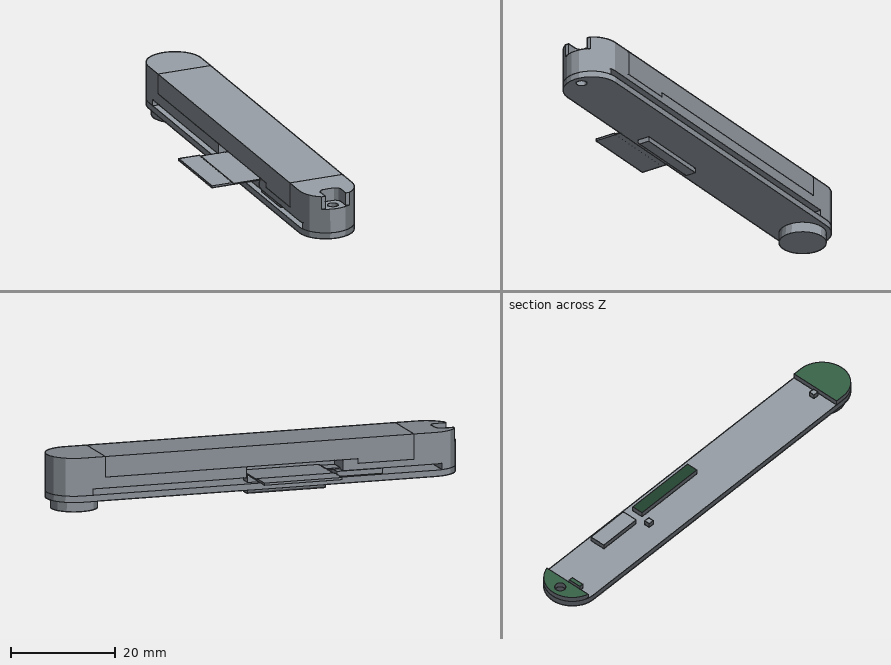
import cadquery as cq

LENGTH = 82.0
END_RADIUS = 5.5
FRONT = -END_RADIUS
FULL_WIDTH = (FRONT, END_RADIUS)
FOOT_HEIGHT = 2.05
PLATE_THICKNESS = 1.2
HOUSING_HEIGHT = 7.4
PLATE_BOTTOM = FOOT_HEIGHT
PLATE_TOP = PLATE_BOTTOM + PLATE_THICKNESS
TOP = PLATE_TOP + HOUSING_HEIGHT
FOOT_RADIUS = 4.5

GAP_HEIGHT = 1.2
GAP_START = 7.5
GAP_END = 77.8
CEILING = PLATE_TOP + GAP_HEIGHT

LID_START = 9.9
LID_END = LENGTH - LID_START
LID_THICKNESS = 4.0
LID_STEP_START = 60.85
LID_STEP_DEPTH = 0.9
LID_BOTTOM = TOP - LID_THICKNESS

FLEX_START = 39.0
FLEX_WIDTH = 15.7
FLEX_END = FLEX_START + FLEX_WIDTH
FLEX_TIP = -14.0
FLEX_THICKNESS = 0.205
FLEX_BOTTOM = TOP - 5.9
STIFFENER_LENGTH = 4.35

POCKET_START = 38.4
POCKET_END = 57.8
POCKET_DEPTH = 4.9
POCKET_MOUTH_DEPTH = 1.7
POCKET_BACK = FRONT + POCKET_DEPTH

HOLE_X = 79.95
HOLE_DIAMETER = 2.05
RECESS_START = 77.8
RECESS_WIDTH = 4.3
RECESS_DEPTH = 2.55
RECESS_CORNER_RADIUS = 1.2
FLAT_X = 81.2

RIB_START = 76.5
RIB_WIDTH = 0.9

COMPONENT_INSET = 0.8
COMPONENT_FRONT = FRONT + COMPONENT_INSET
COMPONENT_HEIGHT = 1.0
LONG_COMPONENT_START = 56.8
LONG_COMPONENT_LENGTH = 9.2
LONG_COMPONENT_WIDTH = 3.3
SMALL_COMPONENT_STARTS = (7.95, 54.8)
SMALL_COMPONENT_SIZE = 1.15

CONNECTOR_BOTTOM = TOP - 9.6
CONNECTOR_INSET = 1.2
CONNECTOR_DEPTH = 2.5
CONNECTOR_RADIUS = 0.6


def box(x_range, y_range, z_range):
    """Box between two limits along each axis."""
    (x0, x1), (y0, y1), (z0, z1) = x_range, y_range, z_range
    return cq.Workplane("XY").box(x1 - x0, y1 - y0, z1 - z0, centered=False).translate((x0, y0, z0))


def rounded_bar(bottom, top):
    """Full-length bar with a half-round at each end."""
    x_left = END_RADIUS
    x_right = LENGTH - END_RADIUS
    return (
        cq.Workplane("XY")
        .workplane(offset=bottom)
        .moveTo(x_left, FRONT)
        .lineTo(x_right, FRONT)
        .threePointArc((LENGTH, 0), (x_right, END_RADIUS))
        .lineTo(x_left, END_RADIUS)
        .threePointArc((0, 0), (x_left, FRONT))
        .close()
        .extrude(top - bottom)
    )


def make_foot():
    """Round foot under the -X end, concentric with its half-round."""
    return cq.Workplane("XY").center(END_RADIUS, 0).circle(FOOT_RADIUS).extrude(FOOT_HEIGHT)


def end_hole():
    """Cutter for the hole that passes through the housing and the base plate."""
    return cq.Workplane("XY").center(HOLE_X, 0).circle(HOLE_DIAMETER / 2).extrude(TOP)


def make_lid():
    panel = box((LID_START, LID_END), FULL_WIDTH, (LID_BOTTOM, TOP))
    step = box((LID_STEP_START, LID_END), FULL_WIDTH, (LID_BOTTOM - LID_STEP_DEPTH, LID_BOTTOM))
    return panel.union(step)


def make_flex_tail():
    """Thin strip from inside the pocket to the tip, thickened by a stiffener at the tip."""
    flex_top = FLEX_BOTTOM + FLEX_THICKNESS
    x_range = (FLEX_START, FLEX_END)
    strip = box(x_range, (FLEX_TIP, POCKET_BACK), (FLEX_BOTTOM, flex_top))
    stiffener = box(x_range, (FLEX_TIP, FLEX_TIP + STIFFENER_LENGTH), (flex_top, flex_top + FLEX_THICKNESS))
    return strip.union(stiffener)


def pocket():
    """Cutter for the flex pocket: a shelf level with the flex, and a mouth open to the gap below."""
    x_range = (POCKET_START, POCKET_END)
    shelf = box(x_range, (FRONT, POCKET_BACK), (FLEX_BOTTOM, LID_BOTTOM))
    mouth = box(x_range, (FRONT, FRONT + POCKET_MOUTH_DEPTH), (CEILING, LID_BOTTOM))
    return shelf.union(mouth)


def end_recess():
    """Cutter for the recess around the hole and the flat above it on the +X end."""
    half_width = RECESS_WIDTH / 2
    floor = TOP - RECESS_DEPTH
    recess = box((RECESS_START, LENGTH), (-half_width, half_width), (floor, TOP))
    recess = recess.edges("|Z and <X").fillet(RECESS_CORNER_RADIUS)
    flat = box((FLAT_X, LENGTH), FULL_WIDTH, (floor, TOP))
    return recess.union(flat)


def make_housing(lid, connector):
    body = rounded_bar(PLATE_TOP, TOP)
    body = body.cut(box((GAP_START, GAP_END), FULL_WIDTH, (PLATE_TOP, CEILING)))
    rib = box((RIB_START, RIB_START + RIB_WIDTH), (0, END_RADIUS / 2), (PLATE_TOP, CEILING))
    body = body.union(rib)
    return body.cut(lid).cut(connector).cut(pocket()).cut(end_recess()).cut(end_hole())


def make_connector():
    connector_front = FRONT + CONNECTOR_INSET
    y_range = (connector_front, connector_front + CONNECTOR_DEPTH)
    block = box((FLEX_START, FLEX_END), y_range, (CONNECTOR_BOTTOM, FLEX_BOTTOM))
    return block.edges("|X and <Y").fillet(CONNECTOR_RADIUS)


def make_base_plate(connector):
    plate = rounded_bar(PLATE_BOTTOM, PLATE_TOP)
    plate = plate.union(make_foot()).cut(end_hole()).union(connector)
    z_range = (PLATE_TOP, PLATE_TOP + COMPONENT_HEIGHT)
    long_component = box(
        (LONG_COMPONENT_START, LONG_COMPONENT_START + LONG_COMPONENT_LENGTH),
        (COMPONENT_FRONT, COMPONENT_FRONT + LONG_COMPONENT_WIDTH),
        z_range,
    )
    plate = plate.union(long_component)
    for start in SMALL_COMPONENT_STARTS:
        plate = plate.union(box((start, start + SMALL_COMPONENT_SIZE), (0, SMALL_COMPONENT_SIZE), z_range))
    return plate


lid = make_lid()
flex_tail = make_flex_tail()
connector = make_connector()
housing = make_housing(lid, connector)
base_plate = make_base_plate(connector)

result = cq.Compound.makeCompound([housing.val(), lid.val(), base_plate.val(), flex_tail.val()])